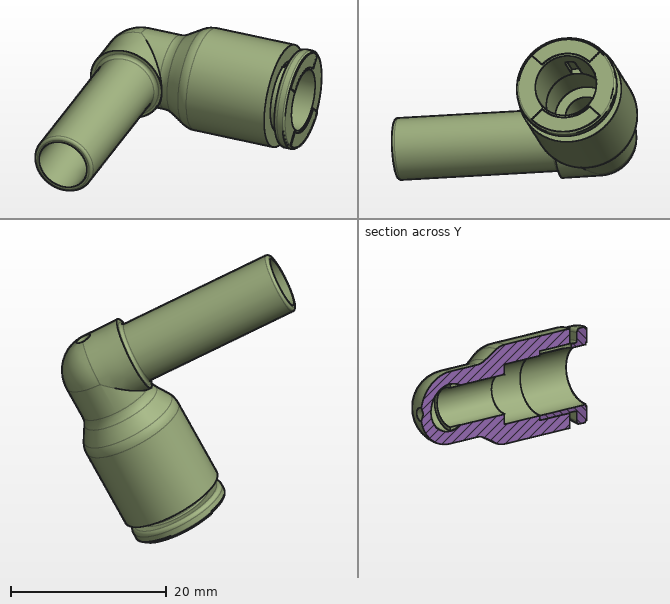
import cadquery as cq
import math


overall_length = 33.15
socket_diameter = 13.5
socket_radius = socket_diameter / 2

knee_radius = 4.9
collar_radius = 4.95
collar_length = 5.0

stem_radius = 4.0
stem_end = overall_length - socket_radius
stem_root_fillet = 0.45
stem_tip_fillet = 0.4
bore_mouth_radius = 3.3
bore_corner_radius = 3.15

socket_end = 19.9
branch_straight = 4.45
flare_angle = math.radians(30)
flare_blend_radius = 2.6
passage_radius = 2.65
tube_seat_start = 9.05
gate_dimple_radius = 0.9
gate_dimple_depth = 0.33

sleeve_radius = 4.65
sleeve_start = 14.92
tube_bore_radius = stem_radius
flange_radius = 6.5
flange_start = 21.02
flange_end = 22.58
flange_back_fillet = 0.53
flange_front_fillet = 0.25
sleeve_root_fillet = 0.2
slot_width = 1.33
slot_end = 20.12
land_inner_radius = 4.3
land_outer_radius = flange_radius - flange_front_fillet
land_half_angle = 46
land_height = 0.13
land_directions = (90, 270)


def x_cylinder(radius, start, end):
    """Solid cylinder on the X axis between two X positions."""
    return cq.Workplane("YZ", origin=(start, 0, 0)).circle(radius).extrude(end - start)


def collar():
    """Slightly drafted cylinder at the corner end of the stem."""
    return (
        cq.Workplane("XZ")
        .circle(knee_radius)
        .workplane(offset=collar_length)
        .circle(collar_radius)
        .loft()
    )


def stem():
    """Stem turned about the Y axis, with a hollow fillet at the collar and a rounded tip."""
    fillet_end = -collar_length - stem_root_fillet
    return (
        cq.Workplane("XY")
        .lineTo(0, -stem_end)
        .lineTo(stem_radius - stem_tip_fillet, -stem_end)
        .radiusArc((stem_radius, -stem_end + stem_tip_fillet), -stem_tip_fillet)
        .lineTo(stem_radius, fillet_end)
        .radiusArc((stem_radius + stem_root_fillet, -collar_length), stem_root_fillet)
        .lineTo(stem_radius + stem_root_fillet, 0)
        .close()
        .revolve(360, (0, 0, 0), (0, 1, 0))
    )


def branch():
    """Branch turned about the X axis: a straight neck, a blended conical flare and the socket barrel."""
    blend_length = flare_blend_radius * math.sin(flare_angle)
    blend_rise = flare_blend_radius * (1 - math.cos(flare_angle))
    cone_rise = socket_radius - knee_radius - 2 * blend_rise
    cone_start = branch_straight + blend_length
    cone_end = cone_start + cone_rise / math.tan(flare_angle)
    barrel_start = cone_end + blend_length
    return (
        cq.Workplane("XY")
        .lineTo(0, knee_radius)
        .lineTo(branch_straight, knee_radius)
        .radiusArc((cone_start, knee_radius + blend_rise), -flare_blend_radius)
        .lineTo(cone_end, socket_radius - blend_rise)
        .radiusArc((barrel_start, socket_radius), flare_blend_radius)
        .lineTo(socket_end, socket_radius)
        .lineTo(socket_end, 0)
        .close()
        .revolve(360, (0, 0, 0), (1, 0, 0))
    )


def stem_bore():
    """Tapered stem bore, closed by a quarter sphere on the outer side of the corner."""
    taper = cq.Workplane(
        cq.Solid.makeCone(
            bore_corner_radius,
            bore_mouth_radius,
            stem_end,
            pnt=cq.Vector(0, 0, 0),
            dir=cq.Vector(0, -1, 0),
        )
    )
    outer_side = cq.Workplane("XY").box(
        bore_corner_radius,
        bore_corner_radius,
        2 * bore_corner_radius,
        centered=(False, False, True),
    )
    outer_side = outer_side.translate((-bore_corner_radius, 0, 0))
    corner = cq.Workplane("XY").sphere(bore_corner_radius).intersect(outer_side)
    return taper.union(corner)


def gate_dimple():
    """Conical cutter for the dimple, twice the dimple's size so that it clears the rounded surface."""
    rim_distance = math.sqrt(knee_radius**2 - gate_dimple_radius**2)
    return cq.Workplane(
        cq.Solid.makeCone(
            0,
            2 * gate_dimple_radius,
            2 * gate_dimple_depth,
            pnt=cq.Vector(-rim_distance + gate_dimple_depth, 0, 0),
            dir=cq.Vector(-1, 0, 0),
        )
    )


def make_housing():
    """Elbow housing with its stem, its corner passage and the stepped socket for tube and button."""
    knee = cq.Workplane("XY").sphere(knee_radius)
    body = branch().union(knee).union(collar()).union(stem())
    return (
        body.cut(stem_bore())
        .cut(x_cylinder(passage_radius, 0, socket_end))
        .cut(x_cylinder(tube_bore_radius, tube_seat_start, socket_end))
        .cut(x_cylinder(sleeve_radius, sleeve_start, socket_end))
        .cut(gate_dimple())
    )


def raised_land(direction):
    """Raised ring sector on the button's outer face, centred at an angle from +Y."""
    first = math.radians(direction - land_half_angle)
    middle = math.radians(direction)
    last = math.radians(direction + land_half_angle)

    def at(radius, angle):
        return (radius * math.cos(angle), radius * math.sin(angle))

    return (
        cq.Workplane("YZ", origin=(flange_end, 0, 0))
        .moveTo(*at(land_inner_radius, first))
        .lineTo(*at(land_outer_radius, first))
        .threePointArc(at(land_outer_radius, middle), at(land_outer_radius, last))
        .lineTo(*at(land_inner_radius, last))
        .threePointArc(at(land_inner_radius, middle), at(land_inner_radius, first))
        .close()
        .extrude(land_height)
    )


def sleeve_slot():
    """Slot with a round end through the upper wall of the sleeve."""
    end_center = slot_end - slot_width / 2
    length = end_center - sleeve_start
    straight = cq.Workplane("XY").center(sleeve_start + length / 2, 0).rect(length, slot_width)
    round_end = cq.Workplane("XY").center(end_center, 0).circle(slot_width / 2)
    return straight.extrude(sleeve_radius).union(round_end.extrude(sleeve_radius))


def button_body():
    """Button turned about the X axis: a sleeve, a filleted root and a flange with rounded edges."""
    root_start = flange_start - sleeve_root_fillet
    root_radius = sleeve_radius + sleeve_root_fillet
    back_start = flange_start + flange_back_fillet
    front_start = flange_end - flange_front_fillet
    return (
        cq.Workplane("XY")
        .moveTo(sleeve_start, tube_bore_radius)
        .lineTo(sleeve_start, sleeve_radius)
        .lineTo(root_start, sleeve_radius)
        .radiusArc((flange_start, root_radius), -sleeve_root_fillet)
        .lineTo(flange_start, flange_radius - flange_back_fillet)
        .radiusArc((back_start, flange_radius), flange_back_fillet)
        .lineTo(front_start, flange_radius)
        .radiusArc((flange_end, flange_radius - flange_front_fillet), flange_front_fillet)
        .lineTo(flange_end, tube_bore_radius)
        .close()
        .revolve(360, (0, 0, 0), (1, 0, 0))
    )


def make_release_button():
    """Flanged button whose slotted sleeve fits in the socket."""
    button = button_body().cut(sleeve_slot())
    for direction in land_directions:
        button = button.union(raised_land(direction))
    return button


housing = make_housing()
release_button = make_release_button()

result = cq.Compound.makeCompound([housing.val(), release_button.val()])